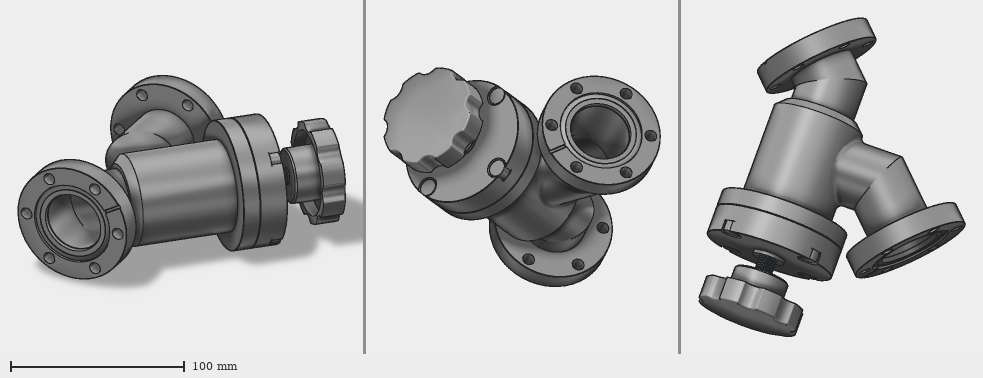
import cadquery as cq
import math

OVERLAP = 1.0

tube_radius = 19.05
tube_bore_radius = 17.4
miter_distance = 45.0
inlet_leg = 43.2
outlet_leg = 25.85

port_flange_radius = 35.0
port_flange_thickness = 12.7
port_flange_chamfer = 0.25
port_bore_radius = 17.8
port_bore_depth = 4.0
gasket_recess_radius = 24.2
gasket_recess_depth = 1.8
knife_edge_radius = 20.95
knife_edge_depth = 0.65
knife_land_depth = 1.2
bolt_circle_radius = 29.35
bolt_hole_diameter = 6.9
bolt_count = 6
leak_groove_width = 1.8
leak_groove_depth = 1.0
leak_groove_angle = 30.0

chamber_radius = 27.0
chamber_bore_radius = 25.0
chamber_bottom = -28.0
chamber_chamfer = 5.0
branch_fillet = 3.5

bonnet_radius = 38.1
bonnet_chamfer = 0.3
body_flange_bottom = 34.4
body_flange_thickness = 10.2
bonnet_thickness = 16.4
body_flange_top = body_flange_bottom + body_flange_thickness
bonnet_top = body_flange_top + bonnet_thickness
collar_radius = 9.5
collar_height = 2.2
collar_top = bonnet_top + collar_height

screw_count = 4
screw_circle_radius = 33.0
screw_head_radius = 5.0
screw_head_height = 6.0
screw_shank_radius = 3.0
screw_shank_length = 16.0
counterbore_radius = 6.0
counterbore_depth = 6.6
counterbore_floor = bonnet_top - counterbore_depth

spindle_radius = 5.25
spindle_root_radius = 4.7
thread_ring_count = 7
spindle_depth_in_bonnet = 8.0
spindle_depth_in_knob = 15.0

hub_bottom = 73.3
hub_radius = 16.2
hub_chamfer = 1.0
rim_bottom = 85.8
rim_radius = 30.0
rim_height = 13.4
rim_fillet = 1.0
rim_top = rim_bottom + rim_height
knob_top = 102.5
knob_cavity_radius = 25.1
knob_cavity_depth = 7.0
scallop_count = 8
scallop_radius = 7.0
scallop_half_width = 5.5

inlet_direction = cq.Vector(-1, 1, 0).normalized()
outlet_direction = cq.Vector(1, -1, 0).normalized()
inlet_miter = cq.Vector(-miter_distance, 0, 0)
outlet_miter = cq.Vector(0, -miter_distance, 0)
inlet_face_center = inlet_miter + inlet_direction * inlet_leg
outlet_face_center = outlet_miter + outlet_direction * outlet_leg


def ring_profile(points):
    """Solid of revolution about Y from (radius, y) points."""
    return cq.Workplane("XY").polyline(points).close().revolve(360, (0, 0, 0), (0, 1, 0))


def y_cylinder(radius, bottom, top):
    """Cylinder along the valve axis."""
    solid = cq.Solid.makeCylinder(radius, top - bottom, cq.Vector(0, bottom, 0), cq.Vector(0, 1, 0))
    return cq.Workplane(obj=solid)


def mitered_tube(radius, start, miter, end):
    """Round bar from start to end with a sharp miter at the bend."""
    first = (miter - start).normalized()
    path = cq.Workplane("XY").polyline([start.toTuple(), miter.toTuple(), end.toTuple()])
    return cq.Workplane(cq.Plane(start, (0, 0, 1), first)).circle(radius).sweep(path, transition="right")


def on_screw_circle(solid):
    """Copies of a solid standing on the valve axis, moved out to each screw place."""
    pitch = 360 / screw_count
    moved = solid.translate((screw_circle_radius, 0, 0))
    return [moved.rotate((0, 0, 0), (0, 1, 0), pitch * (index + 0.5)) for index in range(screw_count)]


def port_flange(face_center, direction):
    """Knife-edge flange with its sealing face at face_center, facing along direction."""
    profile = [
        (tube_bore_radius, -port_flange_thickness),
        (port_flange_radius, -port_flange_thickness),
        (port_flange_radius, 0),
        (gasket_recess_radius, 0),
        (gasket_recess_radius, -gasket_recess_depth),
        (knife_edge_radius, -knife_edge_depth),
        (knife_edge_radius, -knife_land_depth),
        (port_bore_radius, -knife_land_depth),
        (port_bore_radius, -port_bore_depth),
        (tube_bore_radius, -port_bore_depth),
    ]
    flange = ring_profile(profile)
    flange = flange.edges(cq.selectors.RadiusNthSelector(-1)).chamfer(port_flange_chamfer)
    flange = flange.rotate((0, 0, 0), (1, 0, 0), 90)
    bolt_holes = (
        cq.Workplane("XY", origin=(0, 0, -port_flange_thickness))
        .polarArray(bolt_circle_radius, 0, 360, bolt_count)
        .circle(bolt_hole_diameter / 2)
        .extrude(port_flange_thickness)
    )
    groove_start = (gasket_recess_radius + knife_edge_radius) / 2
    groove = (
        cq.Workplane("XY")
        .box(port_flange_radius, leak_groove_width, 2 * leak_groove_depth, centered=(False, True, True))
        .translate((groove_start, 0, 0))
        .rotate((0, 0, 0), (0, 0, 1), leak_groove_angle)
    )
    flange = flange.cut(bolt_holes).cut(groove)
    face_plane = cq.Plane(face_center, (1, 1, 0), direction)
    return flange.val().located(cq.Location(face_plane))


def housing_shell():
    """Chamber with its flange, the inlet branch, the outlet tube and both port flanges, bored through."""
    origin = cq.Vector(0, 0, 0)
    inlet_end = inlet_face_center - inlet_direction * port_bore_depth
    outlet_end = outlet_face_center - outlet_direction * port_bore_depth
    shell = y_cylinder(chamber_radius, chamber_bottom, body_flange_top)
    shell = shell.faces("<Y").chamfer(chamber_chamfer)
    shell = shell.union(mitered_tube(tube_radius, origin, inlet_miter, inlet_end))
    junction = cq.selectors.BoxSelector(
        (-chamber_radius - OVERLAP, -tube_radius - OVERLAP, -tube_radius - OVERLAP),
        (0, tube_radius + OVERLAP, tube_radius + OVERLAP),
    )
    shell = shell.edges(junction).edges("not %LINE").fillet(branch_fillet)
    shell = shell.union(mitered_tube(tube_radius, origin, outlet_miter, outlet_end))
    flange = y_cylinder(bonnet_radius, body_flange_bottom, body_flange_top).edges().chamfer(bonnet_chamfer)
    shell = shell.union(flange)
    shell = shell.cut(mitered_tube(tube_bore_radius, origin, inlet_miter, inlet_end))
    shell = shell.cut(mitered_tube(tube_bore_radius, origin, outlet_miter, outlet_end))
    shell = shell.cut(y_cylinder(chamber_bore_radius, chamber_bottom + chamber_chamfer, body_flange_top))
    shell = shell.union(cq.Workplane(obj=port_flange(inlet_face_center, inlet_direction)))
    return shell.union(cq.Workplane(obj=port_flange(outlet_face_center, outlet_direction)))


def screw_shank():
    """Screw shank on the valve axis, also the cutter for its hole."""
    return y_cylinder(screw_shank_radius, counterbore_floor - screw_shank_length, counterbore_floor)


def housing():
    """Housing shell with blind holes for the bonnet screws."""
    body = housing_shell()
    for hole in on_screw_circle(screw_shank()):
        body = body.cut(hole)
    return body


def bonnet():
    """Cover with a collar, a blind spindle hole and counterbored screw holes."""
    cover = y_cylinder(bonnet_radius, body_flange_top, bonnet_top).edges().chamfer(bonnet_chamfer)
    cover = cover.union(y_cylinder(collar_radius, bonnet_top, collar_top))
    cover = cover.cut(y_cylinder(spindle_radius, bonnet_top - spindle_depth_in_bonnet, collar_top))
    screw_hole = screw_shank().union(y_cylinder(counterbore_radius, counterbore_floor, bonnet_top))
    for hole in on_screw_circle(screw_hole):
        cover = cover.cut(hole)
    return cover


def screws():
    """Cap screws that hold the bonnet on the housing."""
    head = y_cylinder(screw_head_radius, counterbore_floor, counterbore_floor + screw_head_height)
    return on_screw_circle(screw_shank().union(head))


def spindle():
    """Round spindle with thread-like V rings between collar and knob."""
    rod = y_cylinder(spindle_radius, bonnet_top - spindle_depth_in_bonnet, hub_bottom + spindle_depth_in_knob)
    thread_pitch = (hub_bottom - collar_top) / thread_ring_count
    for index in range(thread_ring_count):
        low = collar_top + index * thread_pitch
        groove = ring_profile([
            (spindle_radius, low),
            (spindle_root_radius, low + thread_pitch / 2),
            (spindle_radius, low + thread_pitch),
        ])
        rod = rod.cut(groove)
    return rod


def knob_blank():
    """Round rim with a domed top."""
    dome_radius = (rim_radius**2 + (knob_top - rim_top) ** 2) / (2 * (knob_top - rim_top))
    half_way = rim_radius / 2
    half_way_height = knob_top - dome_radius + math.sqrt(dome_radius**2 - half_way**2)
    return (
        cq.Workplane("XY")
        .moveTo(0, rim_bottom)
        .lineTo(rim_radius, rim_bottom)
        .lineTo(rim_radius, rim_top)
        .threePointArc((half_way, half_way_height), (0, knob_top))
        .close()
        .revolve(360, (0, 0, 0), (0, 1, 0))
    )


def knob():
    """Scalloped hand knob, hollow underneath around its hub."""
    cutter_distance = math.sqrt(rim_radius**2 - scallop_half_width**2) + math.sqrt(
        scallop_radius**2 - scallop_half_width**2
    )
    scallop = y_cylinder(scallop_radius, rim_bottom, knob_top).translate((cutter_distance, 0, 0))
    handle = knob_blank()
    for index in range(scallop_count):
        handle = handle.cut(scallop.rotate((0, 0, 0), (0, 1, 0), 360 / scallop_count * index))
    handle = handle.edges("|Y").fillet(rim_fillet)
    handle = handle.faces(">Y").edges().fillet(rim_fillet)
    cavity_floor = rim_bottom + knob_cavity_depth
    handle = handle.cut(y_cylinder(knob_cavity_radius, rim_bottom, cavity_floor))
    hub = y_cylinder(hub_radius, hub_bottom, cavity_floor).faces("<Y").chamfer(hub_chamfer)
    socket = y_cylinder(spindle_radius, hub_bottom, hub_bottom + spindle_depth_in_knob)
    return handle.union(hub).cut(socket)


result = cq.Compound.makeCompound([
    housing().val(),
    bonnet().val(),
    *[screw.val() for screw in screws()],
    spindle().val(),
    knob().val(),
])